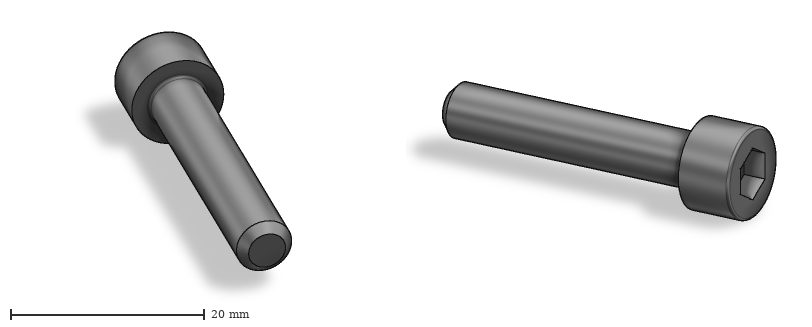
import cadquery as cq
import math

thread_diameter = 6.0
shank_length = 30.0
head_diameter = 10.0
head_height = thread_diameter
head_edge_radius = 0.3
neck_fillet_radius = 0.3
tip_chamfer = 1.0
socket_across_flats = 5.0
socket_depth = socket_across_flats / 2
socket_sides = 6

shank_radius = thread_diameter / 2


def make_head():
    """Cylindrical head with a rounded outer edge on its free face."""
    head = cq.Workplane("YZ").circle(head_diameter / 2).extrude(-head_height)
    return head.faces("<X").edges().fillet(head_edge_radius)


def make_shank():
    """Plain cylindrical shank with a chamfered tip."""
    shank = cq.Workplane("YZ").circle(shank_radius).extrude(shank_length)
    return shank.faces(">X").edges().chamfer(tip_chamfer)


def make_neck():
    """Concave fillet ring between the head seat and the shank."""
    flare_radius = shank_radius + neck_fillet_radius
    arc_offset = neck_fillet_radius * (1 - math.sqrt(0.5))
    axis_start = (0, 0, 0)
    axis_end = (1, 0, 0)
    return (
        cq.Workplane("XY")
        .lineTo(0, flare_radius)
        .threePointArc(
            (arc_offset, shank_radius + arc_offset),
            (neck_fillet_radius, shank_radius),
        )
        .lineTo(neck_fillet_radius, 0)
        .close()
        .revolve(360, axis_start, axis_end)
    )


def make_socket():
    """Hexagonal prism, two corners pointing along Z, sunk from the head's free face."""
    across_corners = socket_across_flats / math.cos(math.pi / socket_sides)
    return (
        cq.Workplane("YZ", origin=(-head_height, 0, 0))
        .transformed(rotate=(0, 0, 90))
        .polygon(socket_sides, across_corners)
        .extrude(socket_depth)
    )


result = make_head().union(make_shank()).union(make_neck()).cut(make_socket())